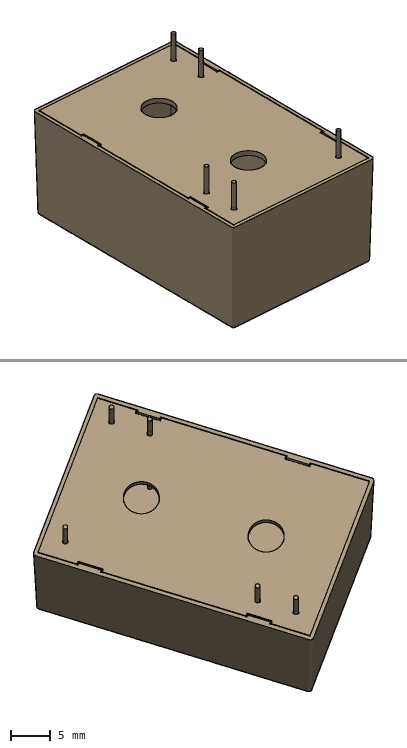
import cadquery as cq

CASE_LENGTH = 37.0
CASE_WIDTH = 24.0
CASE_HEIGHT = 15.4
WALL = 0.5
DRAFT_ANGLE = 1.2
EDGE_RADIUS = 0.4
FLOOR = 0.5

COVER_THICKNESS = 0.7
COVER_GAP = 0.07
VENT_RADIUS = 2.25
VENT_X = 8.25

TAB_LENGTH = 3.0
TAB_REACH = 0.48
TAB_CHAMFER = 0.22
NOTCH_GAP = 0.15
TAB_X = 11.17
OFFSET_TAB_X = -8.6
TABS = [(-TAB_X, 1), (TAB_X, 1), (OFFSET_TAB_X, -1), (TAB_X, -1)]

PIN_RADIUS = 0.3
PIN_HOLE_RADIUS = 0.35
PIN_RISE = 4.0
PIN_OUTER_X = 15.25
PIN_INNER_X = 10.18
PIN_Y = 8.88
PIN_POSITIONS = [
    (-PIN_OUTER_X, PIN_Y),
    (-PIN_INNER_X, PIN_Y),
    (PIN_OUTER_X, PIN_Y),
    (PIN_INNER_X, -PIN_Y),
    (PIN_OUTER_X, -PIN_Y),
]

CAVITY_LENGTH = CASE_LENGTH - 2 * WALL
CAVITY_WIDTH = CASE_WIDTH - 2 * WALL


def tapered_block(length, width, depth):
    """A block hanging from the rim plane whose sides lean inward at the draft angle."""
    return (
        cq.Workplane("XY", origin=(0, 0, CASE_HEIGHT))
        .rect(length, width)
        .extrude(-depth, taper=DRAFT_ANGLE)
    )


def cylinder(x, y, radius, base_z, height):
    """An upright cylinder rising from base_z."""
    return cq.Workplane("XY", origin=(x, y, base_z)).circle(radius).extrude(height)


def make_tab(x, side):
    """A tab on the long wall at side * Y, with a chamfer along the top edge of its tip."""
    wall_y = CAVITY_WIDTH / 2
    tip_y = wall_y - TAB_REACH
    root_y = wall_y + WALL / 2
    foot_z = CASE_HEIGHT - COVER_THICKNESS
    profile = [
        (side * root_y, CASE_HEIGHT),
        (side * (tip_y + TAB_CHAMFER), CASE_HEIGHT),
        (side * tip_y, CASE_HEIGHT - TAB_CHAMFER),
        (side * tip_y, foot_z),
        (side * root_y, foot_z),
    ]
    return (
        cq.Workplane("YZ", origin=(x, 0, 0))
        .polyline(profile)
        .close()
        .extrude(TAB_LENGTH / 2, both=True)
    )


def make_case():
    """The drafted shell with rounded outer corners and underside, plus its tabs."""
    outer = tapered_block(CASE_LENGTH, CASE_WIDTH, CASE_HEIGHT)
    outer = outer.edges("not (|X or |Y)").fillet(EDGE_RADIUS)
    outer = outer.faces("<Z").edges().fillet(EDGE_RADIUS)
    case = outer.cut(tapered_block(CAVITY_LENGTH, CAVITY_WIDTH, CASE_HEIGHT - FLOOR))
    for x, side in TABS:
        case = case.union(make_tab(x, side))
    return case


def make_cover():
    """The plate with its vents, pin holes and tab notches."""
    cover = tapered_block(CAVITY_LENGTH, CAVITY_WIDTH - 2 * COVER_GAP, COVER_THICKNESS)
    vents = [(-VENT_X, 0), (VENT_X, 0)]
    for points, radius in [(vents, VENT_RADIUS), (PIN_POSITIONS, PIN_HOLE_RADIUS)]:
        for x, y in points:
            cover = cover.cut(cylinder(x, y, radius, 0, CASE_HEIGHT))
    notch_length = TAB_LENGTH + 2 * NOTCH_GAP
    for x, side in TABS:
        notch = cq.Workplane("XY").rect(notch_length, 2 * TAB_REACH).extrude(CASE_HEIGHT)
        cover = cover.cut(notch.translate((x, side * CAVITY_WIDTH / 2, 0)))
    return cover


def make_pin(x, y):
    """A straight round pin from the case floor to its tip above the rim."""
    length = CASE_HEIGHT - FLOOR + PIN_RISE
    return cylinder(x, y, PIN_RADIUS, FLOOR, length)


case = make_case()
cover = make_cover()
pins = [make_pin(x, y) for x, y in PIN_POSITIONS]

result = cq.Compound.makeCompound([case.val(), cover.val(), *[pin.val() for pin in pins]])